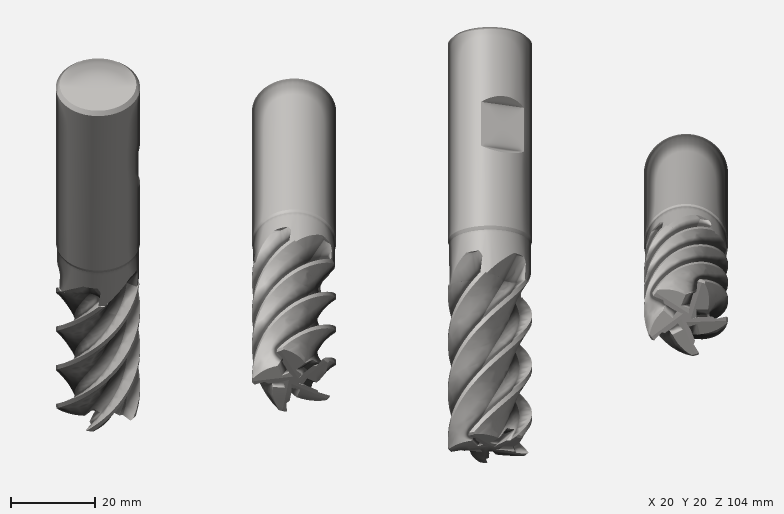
import cadquery as cq
import math

cutter_diameter = 20.0
overall_length = 104.0
cut_length = 41.0
cutter_radius = cutter_diameter / 2

neck_step = 0.3
neck_radius = cutter_radius - neck_step
neck_top = 52.0
shoulder_height = 0.9
shank_chamfer = 0.9

flat_depth = 1.6
flat_length = 11.2
flat_from_top = 25.0

flute_count = 5
pitch_angle = 360.0 / flute_count
helix_angle = 45.0
lead = math.pi * cutter_diameter / math.tan(math.radians(helix_angle))
first_edge_angle = 36.0
edge_angles = [first_edge_angle + i * pitch_angle for i in range(flute_count)]

rim_overshoot = 0.2
rim_radius = cutter_radius + rim_overshoot
land_angle = 7.0
back_bulge = 0.6
heel_radius = 5.6
heel_angle = 51.0
floor_radius = 5.8
floor_angle = 65.0
rake_root_radius = 7.0
rake_root_lag = 5.0

runout_height = 5.8
runout_lift = 3.6

corner_chamfer = 0.5
end_land_width = 1.2
relief_angle = 9.0
relief_sector = 62.0
relief_block_height = 5.0
gash_height = 3.6
gash_width = 2.0
gash_lean = 2.7
gash_inner_radius = 2.5


def polar(radius, angle):
    """Point in the XY plane at a radius and an angle in degrees."""
    return (radius * math.cos(math.radians(angle)), radius * math.sin(math.radians(angle)))


def twist(height):
    """Turn of the helix over a height, in degrees."""
    return 360.0 * height / lead


def trace_flute(outline, edge_angle):
    """Continue an outline from the end of a land, through one flute, to the next cutting edge."""
    next_edge = edge_angle + pitch_angle
    land_end = cq.Vector(*polar(rim_radius, edge_angle + land_angle))
    heel = cq.Vector(*polar(heel_radius, edge_angle + heel_angle))
    outward = (heel - land_end).normalized().cross(cq.Vector(0, 0, 1))
    back_middle = (land_end + heel) / 2 + outward * back_bulge
    return (
        outline.threePointArc((back_middle.x, back_middle.y), (heel.x, heel.y))
        .threePointArc(
            polar(floor_radius, edge_angle + floor_angle),
            polar(rake_root_radius, next_edge + rake_root_lag),
        )
        .lineTo(*polar(rim_radius, next_edge))
    )


def make_relief(edge_angle):
    """Tilted block that slopes the end face of a tooth upward behind a narrow flat land."""
    reach = 2 * cutter_radius
    return (
        cq.Workplane("XY")
        .polyline([(0, 0), (reach, 0), polar(reach, relief_sector)])
        .close()
        .extrude(-relief_block_height)
        .rotate((0, 0, 0), (1, 0, 0), relief_angle)
        .translate((0, end_land_width, 0))
        .rotate((0, 0, 0), (0, 0, 1), edge_angle)
    )


def make_gash(edge_angle):
    """Leaning end notch along the rake face of a cutting edge, from the central web out past the rim."""
    return (
        cq.Workplane("YZ", origin=(gash_inner_radius, 0, 0))
        .polyline([
            (0, 0),
            (gash_lean, gash_height),
            (gash_lean - gash_width, gash_height),
            (-gash_width, 0),
        ])
        .close()
        .extrude(rim_radius - gash_inner_radius)
        .rotate((0, 0, 0), (0, 0, 1), edge_angle)
    )


def make_cutter():
    outline = cq.Workplane("XY").moveTo(*polar(rim_radius, first_edge_angle))
    for angle in edge_angles:
        outline = outline.lineTo(*polar(rim_radius, angle + land_angle))
        outline = trace_flute(outline, angle)
    teeth = outline.close().twistExtrude(cut_length, twist(cut_length))
    blank = cq.Workplane("XY").circle(cutter_radius).extrude(cut_length)
    blank = blank.faces("<Z").chamfer(corner_chamfer)
    body = blank.intersect(teeth)
    for angle in edge_angles:
        body = body.cut(make_relief(angle))
        body = body.cut(make_gash(angle))
    return body


def make_runout(edge_angle):
    """Flute end in the neck: the flute section slides up and outward along its rake face."""
    middle = edge_angle + (land_angle + pitch_angle) / 2
    start = polar(rim_radius, edge_angle + land_angle)
    outline = cq.Workplane("XY", origin=(0, 0, cut_length)).moveTo(*start)
    outline = trace_flute(outline, edge_angle).threePointArc(polar(rim_radius, middle), start)
    section = outline.wire().val()
    lift = polar(runout_lift, edge_angle + pitch_angle)
    return cq.Solid.extrudeLinear(section, [], cq.Vector(*lift, runout_height))


def make_clamping_flat():
    middle = overall_length - flat_from_top
    floor = cutter_radius - flat_depth
    rim = cutter_radius + flat_depth
    half_floor = flat_length / 2
    half_rim = half_floor + (rim - floor)
    return (
        cq.Workplane("YZ")
        .polyline([
            (floor, middle - half_floor),
            (floor, middle + half_floor),
            (rim, middle + half_rim),
            (rim, middle - half_rim),
        ])
        .close()
        .extrude(cutter_radius, both=True)
    )


def make_shank():
    body = (
        cq.Workplane("XZ")
        .polyline([
            (0, cut_length),
            (neck_radius, cut_length),
            (neck_radius, neck_top),
            (cutter_radius, neck_top + shoulder_height),
            (cutter_radius, overall_length - shank_chamfer),
            (cutter_radius - shank_chamfer, overall_length),
            (0, overall_length),
        ])
        .close()
        .revolve(360, (0, 0, 0), (0, 1, 0))
    )
    body = body.cut(make_clamping_flat())
    for angle in edge_angles:
        body = body.cut(cq.Workplane(make_runout(angle + twist(cut_length))))
    return body


cutter = make_cutter()
shank = make_shank()
result = cq.Compound.makeCompound([cutter.solids().val(), shank.solids().val()])